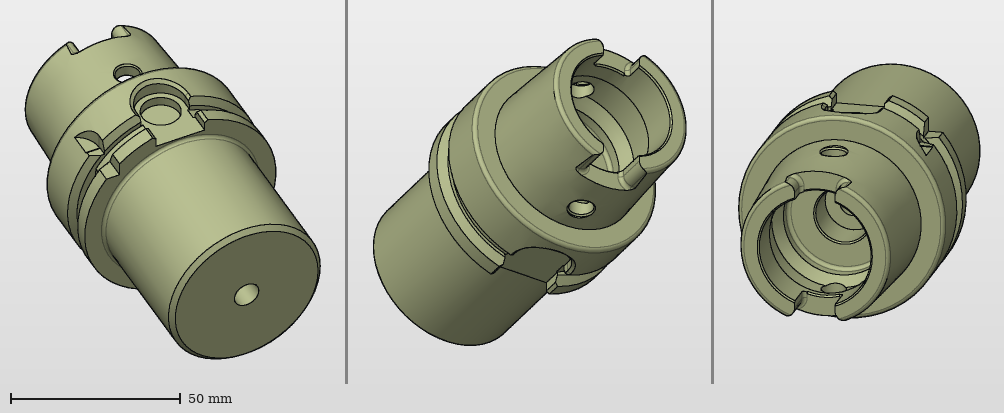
import cadquery as cq
import math


SHANK_LENGTH = 32.0
SHANK_BASE_RADIUS = 24.32
TAPER = 1 / 20
SHANK_TIP_RADIUS = SHANK_BASE_RADIUS - TAPER * SHANK_LENGTH
EDGE_ROUND = 1.2
TIP_X = -SHANK_LENGTH

COLLAR_RADIUS = 31.5
COLLAR_END_X = 26.0
GROOVE_START_X = 16.0
GROOVE_END_X = 19.7
GROOVE_RADIUS = 27.5
FRONT_FLANK_WIDTH = 1.4
REAR_FLANK_WIDTH = 1.65
FLANK_ANGLE = 60.0
GROOVE_FLAT_DISTANCE = 23.7
GROOVE_FLAT_TILT = 3.4

BODY_RADIUS = 25.0
BODY_END_X = 70.0
BODY_CHAMFER = 1.5
NECK_FILLET = 1.0

MOUTH_RADIUS = 17.0
MOUTH_CHAMFER = 0.5
LIP_LENGTH = 12.75
CAVITY_RADIUS = 19.5
CAVITY_ENTRY_ANGLE = 60.0
CAVITY_END_X = -6.7
CAVITY_EXIT_ANGLE = 30.0
FLOOR_X = 2.0
FLOOR_FILLET = 1.2
TUBE_SEAT_RADIUS = 8.4
TUBE_SEAT_CHAMFER = 0.5
TUBE_SEAT_DEPTH = 12.0
COOLANT_RADIUS = 4.0

DRIVE_HALF_WIDTH = 6.14
DRIVE_LEDGE_Z = 20.8
DRIVE_WALL_ROUND = 2.8
DRIVE_FLOOR_FILLET = 1.25
TOP_DRIVE_DEPTH = 6.4
BOTTOM_DRIVE_DEPTH = 10.2

ACCESS_X = -9.0
ACCESS_RADIUS = 3.75
ACCESS_CHAMFER = 0.5

TOP_GRIP_FLOOR = 26.5
BOTTOM_GRIP_FLOOR = 26.1
GRIP_END_X = 4.95
TOP_GRIP_HALF_WIDTH = 8.0
BOTTOM_GRIP_HALF_WIDTH = 9.0
GRIP_CHAMFER = 1.1
CHIP_RADIUS = 6.05
CHIP_DEPTH = 3.0

NOTCH_WALL_Y = -20.0
NOTCH_FLOOR_Z = 20.0
NOTCH_END_RADIUS = 7.5
NOTCH_CENTER_X = 12.2
NOTCH_STEP_X = 12.9
NOTCH_STEP = 0.25

CLEAR = 40.0


def revolve_about_x(profile):
    return profile.close().revolve(360, (0, 0, 0), (1, 0, 0))


def make_shank():
    shank = revolve_about_x(
        cq.Workplane("XY")
        .moveTo(TIP_X, 0)
        .lineTo(TIP_X, SHANK_TIP_RADIUS)
        .lineTo(0, SHANK_BASE_RADIUS)
        .lineTo(0, 0)
    )
    return shank.faces("<X").edges().fillet(EDGE_ROUND)


def make_collar():
    collar = cq.Workplane("YZ").circle(COLLAR_RADIUS).extrude(COLLAR_END_X)
    return collar.faces("<X").edges().fillet(EDGE_ROUND)


def make_body():
    return revolve_about_x(
        cq.Workplane("XY")
        .moveTo(0, 0)
        .lineTo(0, BODY_RADIUS + NECK_FILLET)
        .lineTo(COLLAR_END_X, BODY_RADIUS + NECK_FILLET)
        .radiusArc((COLLAR_END_X + NECK_FILLET, BODY_RADIUS), -NECK_FILLET)
        .lineTo(BODY_END_X - BODY_CHAMFER, BODY_RADIUS)
        .lineTo(BODY_END_X, BODY_RADIUS - BODY_CHAMFER)
        .lineTo(BODY_END_X, 0)
    )


def cut_grip_slot(collar, half_width, floor, side):
    """Round-ended slot open to +X; side is +1 for the +Z slot and -1 for the -Z slot."""
    center_x = GRIP_END_X + half_width
    slot = (
        cq.Workplane("XY", origin=(0, 0, side * floor))
        .moveTo(CLEAR, -half_width)
        .lineTo(center_x, -half_width)
        .threePointArc((GRIP_END_X, 0), (center_x, half_width))
        .lineTo(CLEAR, half_width)
        .close()
        .extrude(side * CLEAR)
    )
    margin = 1.0
    rim_low = math.sqrt(COLLAR_RADIUS**2 - half_width**2) - GRIP_CHAMFER
    rim = cq.selectors.BoxSelector(
        (GRIP_END_X - margin, -half_width - margin, side * rim_low),
        (COLLAR_END_X - margin, half_width + margin, side * CLEAR),
    )
    return collar.cut(slot).edges(rim).chamfer(GRIP_CHAMFER)


def chip_pocket(center_x):
    return (
        cq.Workplane("XY", origin=(center_x, 0, TOP_GRIP_FLOOR - CHIP_DEPTH))
        .circle(CHIP_RADIUS)
        .extrude(CLEAR)
    )


def groove_ring():
    slope = math.tan(math.radians(FLANK_ANGLE))
    front_low = COLLAR_RADIUS - FRONT_FLANK_WIDTH * slope
    rear_low = COLLAR_RADIUS - REAR_FLANK_WIDTH * slope
    return revolve_about_x(
        cq.Workplane("XY")
        .moveTo(GROOVE_START_X, GROOVE_RADIUS)
        .lineTo(GROOVE_START_X, front_low)
        .lineTo(GROOVE_START_X - FRONT_FLANK_WIDTH, COLLAR_RADIUS)
        .lineTo(GROOVE_START_X - FRONT_FLANK_WIDTH, CLEAR)
        .lineTo(GROOVE_END_X + REAR_FLANK_WIDTH, CLEAR)
        .lineTo(GROOVE_END_X + REAR_FLANK_WIDTH, COLLAR_RADIUS)
        .lineTo(GROOVE_END_X, rear_low)
        .lineTo(GROOVE_END_X, GROOVE_RADIUS)
    )


def groove_flat():
    """Flat on the -Y side of the groove floor, tilted slightly towards +Z."""
    half_chord = math.sqrt(GROOVE_RADIUS**2 - GROOVE_FLAT_DISTANCE**2)
    return (
        cq.Workplane("XY")
        .box(
            GROOVE_END_X - GROOVE_START_X,
            GROOVE_RADIUS - GROOVE_FLAT_DISTANCE,
            2 * half_chord,
            centered=(False, False, True),
        )
        .translate((GROOVE_START_X, -GROOVE_RADIUS, 0))
        .rotate((0, 0, 0), (1, 0, 0), -GROOVE_FLAT_TILT)
    )


def orientation_notch():
    """Square-cornered notch on the -Y/+Z shoulder with a round closed end and a stepped floor."""
    center_y = NOTCH_WALL_Y - NOTCH_END_RADIUS
    end = (
        cq.Workplane("XY", origin=(0, 0, NOTCH_FLOOR_Z - NOTCH_STEP))
        .moveTo(NOTCH_STEP_X, NOTCH_WALL_Y)
        .lineTo(NOTCH_CENTER_X, NOTCH_WALL_Y)
        .threePointArc(
            (NOTCH_CENTER_X - NOTCH_END_RADIUS, center_y),
            (NOTCH_CENTER_X, center_y - NOTCH_END_RADIUS),
        )
        .lineTo(NOTCH_STEP_X, center_y - NOTCH_END_RADIUS)
        .close()
        .extrude(CLEAR)
    )
    run = (
        cq.Workplane("XY")
        .box(COLLAR_END_X - NOTCH_STEP_X, CLEAR, CLEAR, centered=False)
        .translate((NOTCH_STEP_X, NOTCH_WALL_Y - CLEAR, NOTCH_FLOOR_Z))
    )
    return end.union(run)


def bore():
    lip_x = TIP_X + LIP_LENGTH
    cavity_depth = CAVITY_RADIUS - MOUTH_RADIUS
    entry_length = cavity_depth / math.tan(math.radians(CAVITY_ENTRY_ANGLE))
    exit_length = cavity_depth / math.tan(math.radians(CAVITY_EXIT_ANGLE))
    seat_end_x = FLOOR_X + TUBE_SEAT_DEPTH
    return revolve_about_x(
        cq.Workplane("XY")
        .moveTo(TIP_X, 0)
        .lineTo(TIP_X, MOUTH_RADIUS + MOUTH_CHAMFER)
        .lineTo(TIP_X + MOUTH_CHAMFER, MOUTH_RADIUS)
        .lineTo(lip_x, MOUTH_RADIUS)
        .lineTo(lip_x + entry_length, CAVITY_RADIUS)
        .lineTo(CAVITY_END_X, CAVITY_RADIUS)
        .lineTo(CAVITY_END_X + exit_length, MOUTH_RADIUS)
        .lineTo(FLOOR_X - FLOOR_FILLET, MOUTH_RADIUS)
        .radiusArc((FLOOR_X, MOUTH_RADIUS - FLOOR_FILLET), FLOOR_FILLET)
        .lineTo(FLOOR_X, TUBE_SEAT_RADIUS + TUBE_SEAT_CHAMFER)
        .lineTo(FLOOR_X + TUBE_SEAT_CHAMFER, TUBE_SEAT_RADIUS)
        .lineTo(seat_end_x, TUBE_SEAT_RADIUS)
        .lineTo(seat_end_x, COOLANT_RADIUS)
        .lineTo(BODY_END_X, COOLANT_RADIUS)
        .lineTo(BODY_END_X, 0)
    )


def drive_slot_chamfer(floor_x):
    """Conical chamfer where the flat of the drive slot floor meets the bore."""
    cone = revolve_about_x(
        cq.Workplane("XY")
        .moveTo(floor_x, 0)
        .lineTo(floor_x, MOUTH_RADIUS + MOUTH_CHAMFER)
        .lineTo(floor_x + MOUTH_CHAMFER, MOUTH_RADIUS)
        .lineTo(floor_x + MOUTH_CHAMFER, 0)
    )
    flat_width = 2 * (DRIVE_HALF_WIDTH - DRIVE_FLOOR_FILLET)
    reach = cq.Workplane("XY").box(2 * CLEAR, flat_width, CLEAR, centered=(True, True, False))
    return cone.intersect(reach)


def drive_slot(depth, side):
    """Slot across the shank wall whose side walls roll outwards onto a ledge near the skin."""
    round_start_z = DRIVE_LEDGE_Z - DRIVE_WALL_ROUND
    ledge_y = DRIVE_HALF_WIDTH + DRIVE_WALL_ROUND
    slot = (
        cq.Workplane("YZ", origin=(TIP_X, 0, 0))
        .moveTo(-DRIVE_HALF_WIDTH, 0)
        .lineTo(-DRIVE_HALF_WIDTH, round_start_z)
        .radiusArc((-ledge_y, DRIVE_LEDGE_Z), -DRIVE_WALL_ROUND)
        .lineTo(-SHANK_BASE_RADIUS, DRIVE_LEDGE_Z)
        .lineTo(-SHANK_BASE_RADIUS, CLEAR)
        .lineTo(SHANK_BASE_RADIUS, CLEAR)
        .lineTo(SHANK_BASE_RADIUS, DRIVE_LEDGE_Z)
        .lineTo(ledge_y, DRIVE_LEDGE_Z)
        .radiusArc((DRIVE_HALF_WIDTH, round_start_z), -DRIVE_WALL_ROUND)
        .lineTo(DRIVE_HALF_WIDTH, 0)
        .close()
        .extrude(depth)
        .faces(">X")
        .edges()
        .fillet(DRIVE_FLOOR_FILLET)
    )
    slot = slot.union(drive_slot_chamfer(TIP_X + depth))
    if side < 0:
        slot = slot.mirror("XY")
    return slot


def access_hole():
    """Radial hole through both shank walls, widened by a chamfer at the skin."""
    skin_z = SHANK_BASE_RADIUS + TAPER * ACCESS_X
    rim_z = math.sqrt(skin_z**2 - ACCESS_RADIUS**2)
    hole = cq.Workplane("XY", origin=(ACCESS_X, 0, -CLEAR)).circle(ACCESS_RADIUS).extrude(2 * CLEAR)
    rim = (
        cq.Workplane("XZ", origin=(ACCESS_X, 0, 0))
        .moveTo(0, rim_z - ACCESS_CHAMFER)
        .lineTo(ACCESS_RADIUS, rim_z - ACCESS_CHAMFER)
        .lineTo(ACCESS_RADIUS + ACCESS_CHAMFER, rim_z)
        .lineTo(ACCESS_RADIUS + ACCESS_CHAMFER, CLEAR)
        .lineTo(0, CLEAR)
        .close()
        .revolve(360, (0, 0, 0), (0, 1, 0))
    )
    return hole.union(rim).union(rim.mirror("XY"))


collar = make_collar()
collar = cut_grip_slot(collar, TOP_GRIP_HALF_WIDTH, TOP_GRIP_FLOOR, 1)
collar = cut_grip_slot(collar, BOTTOM_GRIP_HALF_WIDTH, BOTTOM_GRIP_FLOOR, -1)
collar = collar.cut(orientation_notch()).cut(groove_ring())

result = make_body().union(collar).union(make_shank())
result = result.cut(groove_flat())
result = result.cut(chip_pocket(GRIP_END_X + TOP_GRIP_HALF_WIDTH))
result = result.cut(bore())
result = result.cut(drive_slot(TOP_DRIVE_DEPTH, 1))
result = result.cut(drive_slot(BOTTOM_DRIVE_DEPTH, -1))
result = result.cut(access_hole())